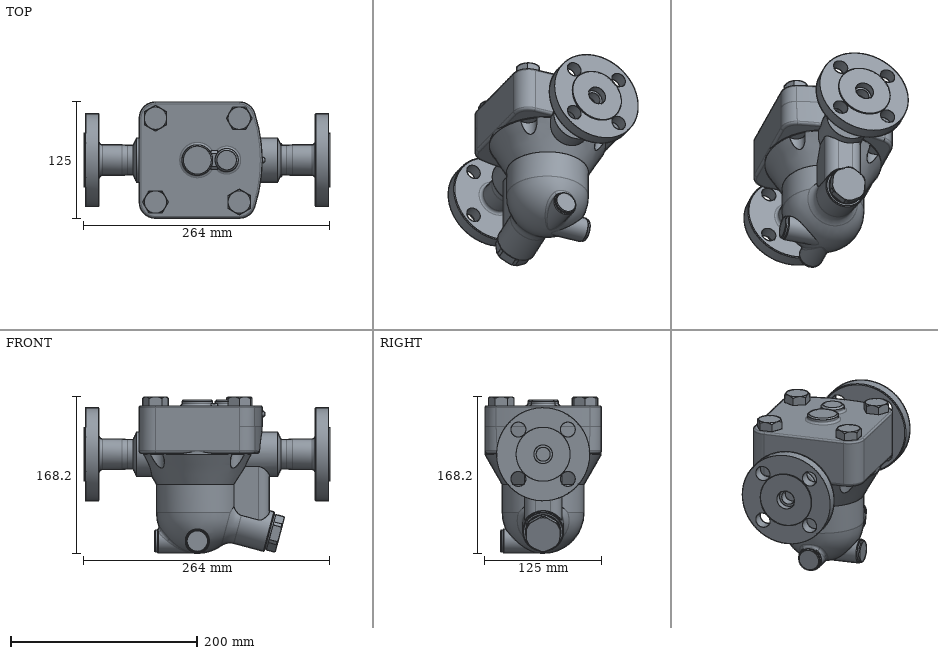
import cadquery as cq
import math

length = 264.0
body_x = -10.5

plate_half = 62.5
plate_corner_radius = 17.5
plate_reach = 59.2
plate_reach_bottom = 57.7
plate_bottom_z = 0.8
parting_z = 30.0
cover_top_z = 52.0
cover_edge_fillet = 2.0
plate_bottom_fillet = 3.0
bolt_offset = plate_half - plate_corner_radius

bolt_flats = 24.0
bolt_turn = 30.0
bolt_head_height = 9.7

pad_height = 6.4
pad_chamfer = 1.5
pad_foot = 2.5
pad_radius = 16.5
small_pad_x = 21.0
small_pad_radius = 12.5
small_pad_chamfer = 2.0
pad_link_height = 2.3
pad_link_top_width = 13.8
pad_link_foot_width = 20.6

pin_radius = 3.2
pin_z = 43.2
pin_x = 59.1

chamber_radius = 44.0
sphere_z = -62.5
cone_bottom_z = -32.4
cone_angle = 30.0
scoop_top_z = -0.4
scoop_diameter = 19.0

port_diameter = 48.0
port_end_x = 75.6
port_bevel_end_x = 79.5
neck_diameter = 32.0
neck_taper_start_x = 85.3
neck_taper_end_x = 91.6
pipe_diameter = 33.0
flange_diameter = 100.0
flange_thickness = 14.5
flange_root_fillet = 3.5
flange_edge_chamfer = 1.0
raised_face_diameter = 58.0
raised_face_height = 1.6
flange_bolt_circle = 75.0
flange_hole_diameter = 16.0
flange_hole_count = 4
flange_hole_start_angle = 45.0
bore_diameter = 20.0
bore_depth = 8.5
inner_bore_diameter = 15.0
inner_bore_depth = 20.0

duct_half_width = 20.0
duct_end_x = 66.9
duct_corner_radius = 12.0

strainer_tilt = 15.0
strainer_radius = 22.0
strainer_length = 80.2
strainer_chamfer = 1.0
strainer_blend = 16.0
collar_diameter = 38.0
collar_height = 1.8
cap_flats = 36.0
cap_turned_diameter = 39.5
cap_height = 9.8
cap_chamfer = 1.0

drain_z = -93.2
drain_diameter = 26.0
drain_length = 42.0
drain_chamfer = 1.0
drain_plug_diameter = 24.0
drain_reach = 45.8
drain_plug_chamfer = 1.0
drain_blend = 3.5


def disc_on_x(start_x, diameter, depth):
    """Cylinder on the X axis, from start_x over a signed depth."""
    return cq.Workplane("YZ", origin=(start_x, 0, 0)).circle(diameter / 2).extrude(depth)


def plate_outline(z, reach):
    """Plate outline at height z, with a +X arc tangent to its corner arcs."""
    r = plate_corner_radius
    left = body_x - plate_half
    corner_x = body_x + bolt_offset
    corner_y = bolt_offset
    gap = reach - corner_x
    arc_radius = (gap**2 + corner_y**2 - r**2) / (2 * (gap - r))
    scale = r / (arc_radius - r)
    tangent_x = corner_x + scale * (corner_x - reach + arc_radius)
    tangent_y = corner_y + scale * corner_y
    mid_angle = (math.atan2(tangent_y - corner_y, tangent_x - corner_x) + math.pi / 2) / 2
    mid_x = corner_x + r * math.cos(mid_angle)
    mid_y = corner_y + r * math.sin(mid_angle)
    left_mid = r * math.sqrt(0.5)
    left_x = left + r
    return (
        cq.Workplane("XY", origin=(0, 0, z))
        .moveTo(left_x, -plate_half)
        .lineTo(corner_x, -plate_half)
        .threePointArc((mid_x, -mid_y), (tangent_x, -tangent_y))
        .threePointArc((reach, 0), (tangent_x, tangent_y))
        .threePointArc((mid_x, mid_y), (corner_x, plate_half))
        .lineTo(left_x, plate_half)
        .threePointArc((left_x - left_mid, corner_y + left_mid), (left, corner_y))
        .lineTo(left, -corner_y)
        .threePointArc((left_x - left_mid, -corner_y - left_mid), (left_x, -plate_half))
        .close()
    )


def bolt_positions():
    """X, Y and the corner signs of each cover bolt."""
    return [
        (body_x + side_x * bolt_offset, side_y * bolt_offset, side_x, side_y)
        for side_x in (-1, 1)
        for side_y in (-1, 1)
    ]


def hexagon_prism(flats, height, turned_diameter, chamfer):
    """Hexagonal head on the XY plane, corners on X, top edge turned to a bevel."""
    prism = cq.Workplane("XY").polygon(6, flats / math.cos(math.pi / 6)).extrude(height)
    turned = cq.Workplane("XY").circle(turned_diameter / 2).extrude(height)
    return prism.intersect(turned.faces(">Z").chamfer(chamfer))


def make_cover():
    cover = plate_outline(parting_z, plate_reach).extrude(cover_top_z - parting_z)
    return cover.faces(">Z").edges().fillet(cover_edge_fillet)


def make_upper_body():
    lower = plate_outline(plate_bottom_z, plate_reach_bottom).wires().val()
    upper = plate_outline(parting_z, plate_reach).wires().val()
    body = cq.Workplane(cq.Solid.makeLoft([lower, upper], True))
    return body.faces("<Z").edges().fillet(plate_bottom_fillet)


def make_bolts():
    corner_diameter = bolt_flats / math.cos(math.pi / 6)
    bevel = (corner_diameter - bolt_flats) / 2
    head = hexagon_prism(bolt_flats, bolt_head_height, corner_diameter, bevel)
    bolts = cq.Workplane("XY")
    for x, y, side_x, side_y in bolt_positions():
        turn = 0 if side_x == side_y else bolt_turn
        bolts = bolts.add(head.rotate((0, 0, 0), (0, 0, 1), turn).translate((x, y, cover_top_z)))
    return bolts.combine()


def make_pad(x, radius, foot, chamfer):
    """Round pad with a concave foot and a bevelled top edge."""
    top = pad_height
    foot_mid = foot * (1 - math.sqrt(0.5))
    return (
        cq.Workplane("XZ")
        .moveTo(0, 0)
        .lineTo(radius + foot, 0)
        .threePointArc((radius + foot_mid, foot_mid), (radius, foot))
        .lineTo(radius, top - chamfer)
        .lineTo(radius - chamfer, top)
        .lineTo(0, top)
        .close()
        .revolve(360, (0, 0, 0), (0, 1, 0))
        .translate((x, 0, cover_top_z))
    )


def make_pad_link():
    return (
        cq.Workplane("YZ", origin=(body_x, 0, cover_top_z))
        .moveTo(-pad_link_foot_width / 2, 0)
        .lineTo(pad_link_foot_width / 2, 0)
        .lineTo(pad_link_top_width / 2, pad_link_height)
        .lineTo(-pad_link_top_width / 2, pad_link_height)
        .close()
        .extrude(small_pad_x - body_x)
    )


def make_pads():
    large = make_pad(body_x, pad_radius, pad_foot, pad_chamfer)
    small = make_pad(small_pad_x, small_pad_radius, pad_foot, small_pad_chamfer)
    return large.union(small).union(make_pad_link())


def make_pin():
    return cq.Workplane("XY").sphere(pin_radius).translate((pin_x, 0, pin_z))


def make_chamber():
    """Cone, cylinder and hemisphere, revolved about the body axis."""
    cone_rise = (plate_half - chamber_radius) / math.tan(math.radians(cone_angle))
    cone_top_z = cone_bottom_z + cone_rise
    diagonal = chamber_radius * math.sqrt(0.5)
    chamber = (
        cq.Workplane("XZ", origin=(body_x, 0, 0))
        .moveTo(0, sphere_z - chamber_radius)
        .threePointArc((diagonal, sphere_z - diagonal), (chamber_radius, sphere_z))
        .lineTo(chamber_radius, cone_bottom_z)
        .lineTo(plate_half, cone_top_z)
        .lineTo(plate_half, plate_bottom_z + plate_bottom_fillet)
        .lineTo(0, plate_bottom_z + plate_bottom_fillet)
        .close()
        .revolve(360, (0, 0, 0), (0, 1, 0))
    )
    for x, y, _, _ in bolt_positions():
        scoop = cq.Workplane("XY", origin=(x, y, scoop_top_z)).circle(scoop_diameter / 2)
        chamber = chamber.cut(scoop.extrude(cone_bottom_z - scoop_top_z))
    return chamber


def make_flanged_port():
    """Port, pipe and flange towards +X, revolved about the pipe axis."""
    face_x = length / 2
    front_x = face_x - raised_face_height
    back_x = front_x - flange_thickness
    pipe = pipe_diameter / 2
    root = flange_root_fillet
    root_mid = root * (1 - math.sqrt(0.5))
    edge = flange_edge_chamfer
    rim = flange_diameter / 2
    port = (
        cq.Workplane("XY")
        .moveTo(0, 0)
        .lineTo(0, port_diameter / 2)
        .lineTo(port_end_x, port_diameter / 2)
        .lineTo(port_bevel_end_x, neck_diameter / 2)
        .lineTo(neck_taper_start_x, neck_diameter / 2)
        .lineTo(neck_taper_end_x, pipe)
        .lineTo(back_x - root, pipe)
        .threePointArc((back_x - root_mid, pipe + root_mid), (back_x, pipe + root))
        .lineTo(back_x, rim - edge)
        .lineTo(back_x + edge, rim)
        .lineTo(front_x, rim)
        .lineTo(front_x, raised_face_diameter / 2)
        .lineTo(face_x, raised_face_diameter / 2)
        .lineTo(face_x, 0)
        .close()
        .revolve(360, (0, 0, 0), (1, 0, 0))
    )
    holes = (
        cq.Workplane("YZ", origin=(back_x, 0, 0))
        .polarArray(flange_bolt_circle / 2, flange_hole_start_angle, 360, flange_hole_count)
        .circle(flange_hole_diameter / 2)
        .extrude(flange_thickness + raised_face_height)
    )
    bore = disc_on_x(face_x, bore_diameter, -bore_depth)
    inner = disc_on_x(face_x, inner_bore_diameter, -inner_bore_depth)
    return port.cut(holes).cut(bore).cut(inner)


def make_duct():
    """Upright block from the pipe axis down into the strainer boss, +X corners rounded."""
    mid_offset = (duct_end_x - body_x) / 2
    bottom_z = sphere_z - mid_offset * math.tan(math.radians(strainer_tilt))
    return (
        cq.Workplane("XY", origin=(0, 0, bottom_z))
        .moveTo(body_x, -duct_half_width)
        .lineTo(duct_end_x, -duct_half_width)
        .lineTo(duct_end_x, duct_half_width)
        .lineTo(body_x, duct_half_width)
        .close()
        .extrude(-bottom_z)
        .edges("|Z and >X")
        .fillet(duct_corner_radius)
    )


def make_strainer():
    """Boss blended into the sphere, sealing collar and hexagonal cap."""
    r = strainer_radius
    blend_y = r + strainer_blend
    blend_distance = chamber_radius + strainer_blend
    blend_x = math.sqrt(blend_distance**2 - blend_y**2)
    start_x = blend_x * chamber_radius / blend_distance
    start_r = blend_y * chamber_radius / blend_distance
    arc_angle = (math.atan2(blend_y, blend_x) + math.pi / 2) / 2
    mid_x = blend_x - strainer_blend * math.cos(arc_angle)
    mid_r = blend_y - strainer_blend * math.sin(arc_angle)
    boss = (
        cq.Workplane("XY")
        .moveTo(0, 0)
        .lineTo(start_x, start_r)
        .threePointArc((mid_x, mid_r), (blend_x, r))
        .lineTo(strainer_length - strainer_chamfer, r)
        .lineTo(strainer_length, r - strainer_chamfer)
        .lineTo(strainer_length, 0)
        .close()
        .revolve(360, (0, 0, 0), (1, 0, 0))
    )
    collar = disc_on_x(strainer_length, collar_diameter, collar_height)
    cap = (
        hexagon_prism(cap_flats, cap_height, cap_turned_diameter, cap_chamfer)
        .rotate((0, 0, 0), (0, 1, 0), 90)
        .translate((strainer_length + collar_height, 0, 0))
    )
    strainer = boss.union(collar).union(cap)
    return strainer.rotate((0, 0, 0), (0, 1, 0), strainer_tilt).translate((body_x, 0, sphere_z))


def make_drain(direction_angle):
    """Drain boss and plug pointing along an angle about the body axis."""
    boss = disc_on_x(0, drain_diameter, drain_length + drain_chamfer)
    boss = boss.faces(">X").chamfer(drain_chamfer)
    plug = disc_on_x(0, drain_plug_diameter, drain_reach)
    plug = plug.faces(">X").chamfer(drain_plug_chamfer)
    drain = boss.union(plug).rotate((0, 0, 0), (0, 0, 1), direction_angle)
    return drain.translate((body_x, 0, drain_z))


def add_blended_drain(chamber):
    """Add the -X drain with a fillet where it meets the sphere."""
    joined = chamber.union(make_drain(180))
    around_drain = cq.selectors.BoxSelector(
        (body_x - chamber_radius, -drain_diameter, drain_z - drain_diameter),
        (body_x, drain_diameter, drain_z + drain_diameter),
    )
    return joined.edges(around_drain).edges("%BSPLINE").fillet(drain_blend)


outlet = make_flanged_port()
inlet = outlet.mirror("YZ")

result = add_blended_drain(make_chamber())
for feature in (
    make_drain(-90),
    make_upper_body(),
    make_cover(),
    make_bolts(),
    make_pads(),
    make_pin(),
    inlet,
    outlet,
    make_duct(),
    make_strainer(),
):
    result = result.union(feature)